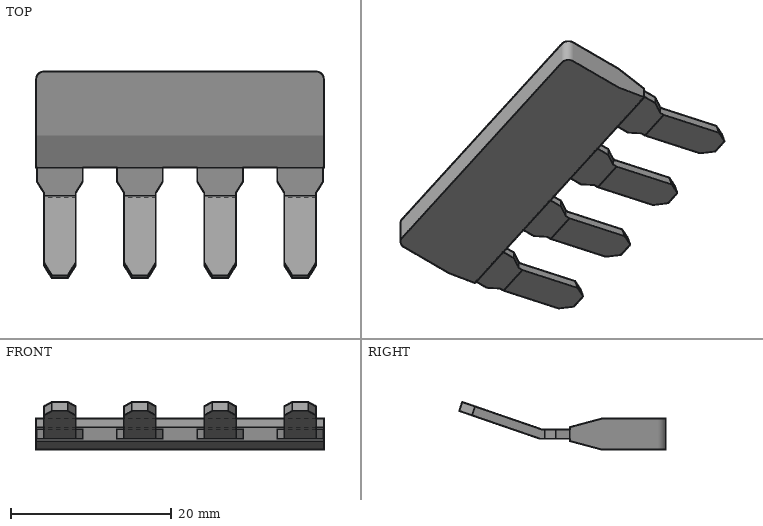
import cadquery as cq
import math

body_width = 35.95
body_depth = 12.0
body_height = 3.9
back_corner_radius = 1.0
taper_depth = 4.0
taper_angle = 15.0

prong_count = 4
prong_pitch = 10.0
prong_thickness = 1.2
prong_width = 4.0
bend_distance = 3.5
bend_angle = 19.0
leg_length = 10.5

shoulder_width = 5.75
shoulder_straight_length = 1.75
shoulder_length = 3.15

tip_width = 2.0
tip_length = 1.7

prong_bottom = (body_height - prong_thickness) / 2
prong_top = prong_bottom + prong_thickness
bend_sin = math.sin(math.radians(bend_angle))
bend_cos = math.cos(math.radians(bend_angle))


def make_body():
    """Bar tapered above and below toward its front face, with rounded back corners."""
    taper_drop = taper_depth * math.tan(math.radians(taper_angle))
    bar = (
        cq.Workplane("YZ")
        .moveTo(0, taper_drop)
        .lineTo(taper_depth, 0)
        .lineTo(body_depth, 0)
        .lineTo(body_depth, body_height)
        .lineTo(taper_depth, body_height)
        .lineTo(0, body_height - taper_drop)
        .close()
        .extrude(body_width / 2, both=True)
    )
    return bar.edges("|Z and >Y").fillet(back_corner_radius)


def make_shoulder():
    """Flat root plate that narrows from the shoulder width to the prong width."""
    return (
        cq.Workplane("XY", origin=(0, 0, prong_bottom))
        .moveTo(-shoulder_width / 2, 0)
        .lineTo(-shoulder_width / 2, -shoulder_straight_length)
        .lineTo(-prong_width / 2, -shoulder_length)
        .lineTo(prong_width / 2, -shoulder_length)
        .lineTo(shoulder_width / 2, -shoulder_straight_length)
        .lineTo(shoulder_width / 2, 0)
        .close()
        .extrude(prong_thickness)
    )


def leg_top_point(distance):
    """Point (y, z) on the upper leg face, at a distance along the leg from the bend."""
    return -bend_distance - distance * bend_cos, prong_top + distance * bend_sin


def make_strip():
    """Strip of constant width that runs flat, bends up and ends where the tip begins."""
    top_y, top_z = leg_top_point(leg_length - tip_length)
    bottom_y = top_y - prong_thickness * bend_sin
    bottom_z = top_z - prong_thickness * bend_cos
    miter_offset = prong_thickness * math.tan(math.radians(bend_angle / 2))
    return (
        cq.Workplane("YZ")
        .moveTo(0, prong_top)
        .lineTo(-bend_distance, prong_top)
        .lineTo(top_y, top_z)
        .lineTo(bottom_y, bottom_z)
        .lineTo(-bend_distance - miter_offset, prong_bottom)
        .lineTo(0, prong_bottom)
        .close()
        .extrude(prong_width / 2, both=True)
    )


def make_tip():
    """Trapezoidal end plate, in line with the bent leg."""
    start_y, start_z = leg_top_point(leg_length - tip_length)
    leg_plane = cq.Plane(
        origin=(0, start_y, start_z),
        xDir=(-1, 0, 0),
        normal=(0, bend_sin, bend_cos),
    )
    return (
        cq.Workplane(leg_plane)
        .moveTo(-prong_width / 2, 0)
        .lineTo(prong_width / 2, 0)
        .lineTo(tip_width / 2, tip_length)
        .lineTo(-tip_width / 2, tip_length)
        .close()
        .extrude(-prong_thickness)
    )


def make_prong():
    return make_strip().union(make_shoulder()).union(make_tip())


result = make_body()
prong = make_prong()
for index in range(prong_count):
    prong_x = (index - (prong_count - 1) / 2) * prong_pitch
    result = result.union(prong.translate((prong_x, 0, 0)))